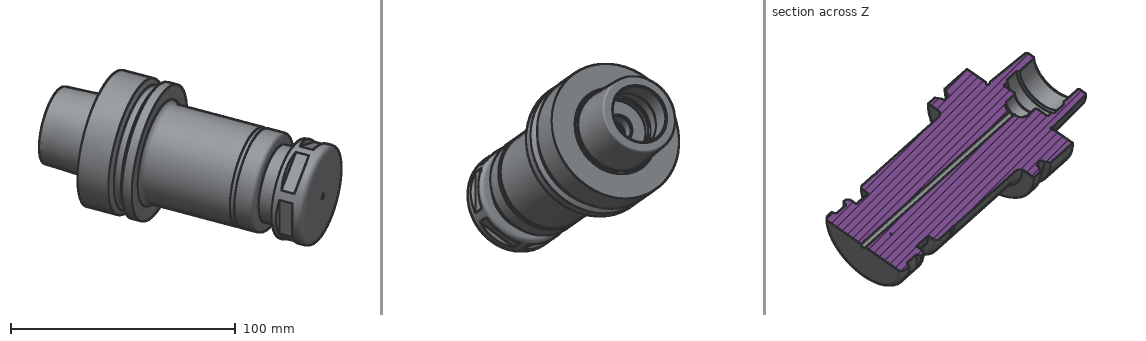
import cadquery as cq
import math

TOTAL_LENGTH = 130.0

SHANK_TIP_RADIUS = 18.0
SHANK_BASE_RADIUS = 19.0
SHANK_TIP_FILLET = 0.9
TAPER_END_X = 22.8
UNDERCUT_START_X = 23.5
UNDERCUT_RADIUS = 18.6
UNDERCUT_END_X = 24.3

FLANGE_START_X = 24.7
FLANGE_END_X = 51.0
FLANGE_RADIUS = 63.0 / 2
RECESS_OUTER_RADIUS = 20.2
RECESS_FLOOR_RADIUS = 19.6
RECESS_DEPTH = 0.5
GROOVE_START_X = 39.6
GROOVE_END_X = 46.3
GROOVE_CHAMFER_WIDTH = 1.5
GROOVE_WALL_RADIUS = 29.0
GROOVE_FLOOR_RADIUS = 27.5
GROOVE_FILLET = 0.8

BODY_RADIUS = 46.0 / 2
BODY_ROOT_RADIUS = 24.7
BODY_ROOT_END_X = 53.7
BODY_END_X = 106.6
BODY_FILLET = 1.8
BAND_START_X = 94.8
BAND_END_X = 96.8
BAND_DEPTH = 0.1
NECK_RADIUS = 36.0 / 2
NUT_START_X = 114.3
NUT_RADIUS = 23.1
NUT_REAR_FILLET = 2.0
NUT_FRONT_FILLET = 2.3

FLAT_COUNT = 6
FLAT_DISTANCE = 21.0
FLAT_START_X = 117.9
FLAT_END_X = 124.2
FLAT_WALL_FLARE = 0.8

BORE_RADIUS = 13.0
BORE_CHAMFER = 0.5
CLAMP_GROOVE_RADIUS = 28.0 / 2
CLAMP_GROOVE_START_X = 10.1
CLAMP_GROOVE_END_X = 18.1
CLAMP_GROOVE_END_SLOPE = 0.4
BORE_DEPTH = 20.8

ENTRY_RADIUS = 6.5
THREAD_RADIUS = 12.0 / 2
THREAD_DEPTH = 6.5
SEAT_RADIUS = 5.7
SEAT_DEPTH = 1.3
CONE_MOUTH_RADIUS = 5.3
CONE_FLOOR_RADIUS = 6.0 / 2
CONE_DEPTH = 1.3
COOLANT_RADIUS = 2.5 / 2

HALF_DIAGONAL = math.sqrt(0.5)


def revolve_about_x(profile):
    return profile.close().revolve(360, (0, 0, 0), (1, 0, 0))


def rounded_corner(profile, centre_x, centre_radius, fillet, x_sign, to_x, to_radius):
    """Add a quarter arc bulging outward and towards x_sign, ending at the given point."""
    reach = fillet * HALF_DIAGONAL
    return profile.threePointArc(
        (centre_x + x_sign * reach, centre_radius + reach), (to_x, to_radius)
    )


def make_shank_and_flange():
    profile = cq.Workplane("XY").lineTo(0, SHANK_TIP_RADIUS - SHANK_TIP_FILLET)
    profile = rounded_corner(
        profile, SHANK_TIP_FILLET, SHANK_TIP_RADIUS - SHANK_TIP_FILLET,
        SHANK_TIP_FILLET, -1, SHANK_TIP_FILLET, SHANK_TIP_RADIUS,
    )
    profile = (
        profile.lineTo(TAPER_END_X, SHANK_BASE_RADIUS)
        .lineTo(UNDERCUT_START_X, SHANK_BASE_RADIUS)
        .lineTo(UNDERCUT_END_X, UNDERCUT_RADIUS)
        .lineTo(FLANGE_START_X + RECESS_DEPTH, UNDERCUT_RADIUS)
        .lineTo(FLANGE_START_X + RECESS_DEPTH, RECESS_FLOOR_RADIUS)
        .lineTo(FLANGE_START_X, RECESS_OUTER_RADIUS)
        .lineTo(FLANGE_START_X, FLANGE_RADIUS)
        .lineTo(FLANGE_END_X, FLANGE_RADIUS)
        .lineTo(FLANGE_END_X, 0)
    )
    return revolve_about_x(profile)


def make_gripper_groove():
    wall_start = GROOVE_START_X + GROOVE_CHAMFER_WIDTH
    wall_end = GROOVE_END_X - GROOVE_CHAMFER_WIDTH
    fillet_top = GROOVE_FLOOR_RADIUS + GROOVE_FILLET
    fillet_mid_radius = fillet_top - GROOVE_FILLET * HALF_DIAGONAL
    fillet_mid_inset = GROOVE_FILLET * (1 - HALF_DIAGONAL)
    profile = (
        cq.Workplane("XY")
        .moveTo(GROOVE_START_X, FLANGE_RADIUS)
        .lineTo(wall_start, GROOVE_WALL_RADIUS)
        .lineTo(wall_start, fillet_top)
        .threePointArc(
            (wall_start + fillet_mid_inset, fillet_mid_radius),
            (wall_start + GROOVE_FILLET, GROOVE_FLOOR_RADIUS),
        )
        .lineTo(wall_end - GROOVE_FILLET, GROOVE_FLOOR_RADIUS)
        .threePointArc(
            (wall_end - fillet_mid_inset, fillet_mid_radius),
            (wall_end, fillet_top),
        )
        .lineTo(wall_end, GROOVE_WALL_RADIUS)
        .lineTo(GROOVE_END_X, FLANGE_RADIUS)
    )
    return revolve_about_x(profile)


def make_body_and_neck():
    profile = (
        cq.Workplane("XY")
        .moveTo(FLANGE_END_X, 0)
        .lineTo(NUT_START_X, 0)
        .lineTo(NUT_START_X, NECK_RADIUS)
        .lineTo(BODY_END_X, NECK_RADIUS)
        .lineTo(BODY_END_X, BODY_RADIUS - BODY_FILLET)
    )
    profile = rounded_corner(
        profile, BODY_END_X - BODY_FILLET, BODY_RADIUS - BODY_FILLET,
        BODY_FILLET, 1, BODY_END_X - BODY_FILLET, BODY_RADIUS,
    )
    profile = (
        profile.lineTo(BAND_END_X, BODY_RADIUS)
        .lineTo(BAND_END_X, BODY_RADIUS - BAND_DEPTH)
        .lineTo(BAND_START_X, BODY_RADIUS - BAND_DEPTH)
        .lineTo(BAND_START_X, BODY_RADIUS)
        .lineTo(BODY_ROOT_END_X, BODY_RADIUS)
        .tangentArcPoint((FLANGE_END_X, BODY_ROOT_RADIUS), relative=False)
    )
    return revolve_about_x(profile)


def make_flat_cutter():
    """Trapezoid slot whose end walls flare outward, lying on the +Y side of the nut."""
    return (
        cq.Workplane("XY")
        .moveTo(FLAT_START_X, FLAT_DISTANCE)
        .lineTo(FLAT_END_X, FLAT_DISTANCE)
        .lineTo(FLAT_END_X + FLAT_WALL_FLARE, NUT_RADIUS)
        .lineTo(FLAT_START_X - FLAT_WALL_FLARE, NUT_RADIUS)
        .close()
        .extrude(NUT_RADIUS, both=True)
    )


def make_nut():
    nut = (
        cq.Workplane("YZ", origin=(NUT_START_X, 0, 0))
        .circle(NUT_RADIUS)
        .extrude(TOTAL_LENGTH - NUT_START_X)
        .faces("<X").edges().fillet(NUT_REAR_FILLET)
        .faces(">X").edges().fillet(NUT_FRONT_FILLET)
    )
    cutter = make_flat_cutter()
    for index in range(FLAT_COUNT):
        angle = index * 360 / FLAT_COUNT
        nut = nut.cut(cutter.rotate((0, 0, 0), (1, 0, 0), angle))
    return nut


def make_bore():
    groove_depth = CLAMP_GROOVE_RADIUS - BORE_RADIUS
    thread_end_x = BORE_DEPTH + THREAD_DEPTH
    cone_start_x = thread_end_x + SEAT_DEPTH
    cone_end_x = cone_start_x + CONE_DEPTH
    profile = (
        cq.Workplane("XY")
        .lineTo(0, BORE_RADIUS + BORE_CHAMFER)
        .lineTo(BORE_CHAMFER, BORE_RADIUS)
        .lineTo(CLAMP_GROOVE_START_X, BORE_RADIUS)
        .lineTo(CLAMP_GROOVE_START_X + groove_depth, CLAMP_GROOVE_RADIUS)
        .lineTo(CLAMP_GROOVE_END_X - CLAMP_GROOVE_END_SLOPE, CLAMP_GROOVE_RADIUS)
        .lineTo(CLAMP_GROOVE_END_X, BORE_RADIUS)
        .lineTo(BORE_DEPTH, BORE_RADIUS)
        .lineTo(BORE_DEPTH, ENTRY_RADIUS)
        .lineTo(BORE_DEPTH + ENTRY_RADIUS - THREAD_RADIUS, THREAD_RADIUS)
        .lineTo(thread_end_x, THREAD_RADIUS)
        .lineTo(thread_end_x, SEAT_RADIUS)
        .lineTo(thread_end_x + SEAT_RADIUS - CONE_MOUTH_RADIUS, CONE_MOUTH_RADIUS)
        .lineTo(cone_start_x, CONE_MOUTH_RADIUS)
        .lineTo(cone_end_x, CONE_FLOOR_RADIUS)
        .lineTo(cone_end_x, COOLANT_RADIUS)
        .lineTo(TOTAL_LENGTH, COOLANT_RADIUS)
        .lineTo(TOTAL_LENGTH, 0)
    )
    return revolve_about_x(profile)


result = (
    make_shank_and_flange()
    .cut(make_gripper_groove())
    .union(make_body_and_neck())
    .union(make_nut())
    .cut(make_bore())
)